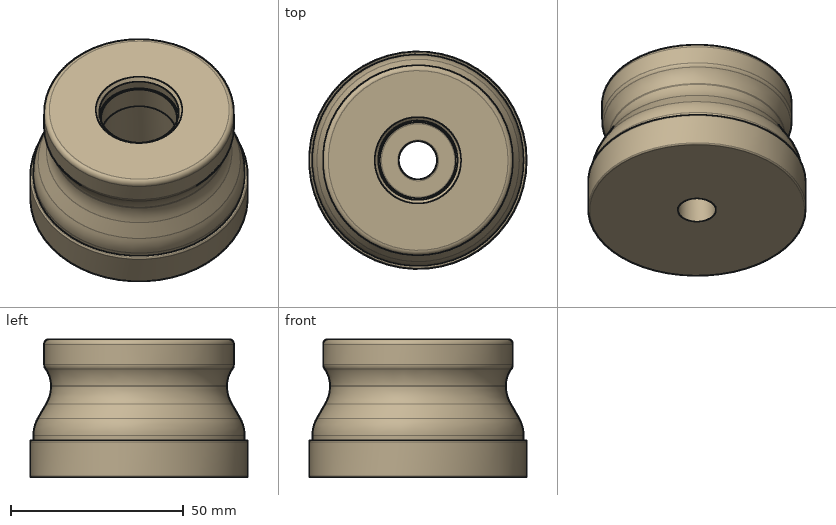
import cadquery as cq
import math

total_height = 40.0

flange_radius = 31.5
flange_height = 10.75
stem_radius = 15.0
stem_top_z = 28.5
stem_bore_radius = 11.0
stem_floor_z = flange_height
screw_hole_radius = 5.5
edge_round = 0.4

head_radius = 27.5
head_top_fillet = 1.5
head_bottom_fillet = 2.0
head_straight_bottom_z = 32.65
neck_radius = 25.5
neck_upper_arc = 8.0
skirt_radius = 30.6
skirt_straight_top_z = 12.15
skirt_arc = 10.0
skirt_slope = math.radians(30)

recess_radius = 11.5
recess_depth = 4.0
recess_chamfer = 1.0


def arc_point(center, radius, angle):
    """Point on a circle in the radius-height plane; the angle starts at the outward direction."""
    return (center[0] + radius * math.cos(angle), center[1] + radius * math.sin(angle))


def revolve_about_z(profile):
    return profile.close().revolve(360, (0, 0, 0), (0, 1, 0))


def make_base():
    low_edge_center = (flange_radius - edge_round, edge_round)
    high_edge_center = (flange_radius - edge_round, flange_height - edge_round)
    floor_center = (stem_bore_radius - edge_round, stem_floor_z + edge_round)
    hole_edge_center = (screw_hole_radius + edge_round, stem_floor_z - edge_round)

    profile = (
        cq.Workplane("XZ")
        .moveTo(screw_hole_radius, 0)
        .lineTo(flange_radius - edge_round, 0)
        .threePointArc(
            arc_point(low_edge_center, edge_round, -math.pi / 4),
            (flange_radius, edge_round),
        )
        .lineTo(flange_radius, flange_height - edge_round)
        .threePointArc(
            arc_point(high_edge_center, edge_round, math.pi / 4),
            (flange_radius - edge_round, flange_height),
        )
        .lineTo(stem_radius, flange_height)
        .lineTo(stem_radius, stem_top_z)
        .lineTo(stem_bore_radius, stem_top_z)
        .lineTo(stem_bore_radius, stem_floor_z + edge_round)
        .threePointArc(
            arc_point(floor_center, edge_round, -math.pi / 4),
            (stem_bore_radius - edge_round, stem_floor_z),
        )
        .lineTo(screw_hole_radius + edge_round, stem_floor_z)
        .threePointArc(
            arc_point(hole_edge_center, edge_round, 3 * math.pi / 4),
            (screw_hole_radius, stem_floor_z - edge_round),
        )
    )
    return revolve_about_z(profile)


def make_knob():
    neck_angle = math.acos(1 - (head_radius - neck_radius) / (head_bottom_fillet + neck_upper_arc))
    neck_top_z = head_straight_bottom_z - (head_bottom_fillet + neck_upper_arc) * math.sin(neck_angle)
    head_arc_center = (head_radius - head_bottom_fillet, head_straight_bottom_z)
    neck_arc_center = (neck_radius + neck_upper_arc, neck_top_z)

    arcs_width = 2 * skirt_arc * (1 - math.cos(skirt_slope))
    arcs_height = 2 * skirt_arc * math.sin(skirt_slope)
    flank_height = (skirt_radius - neck_radius - arcs_width) / math.tan(skirt_slope)
    neck_bottom_z = skirt_straight_top_z + arcs_height + flank_height
    skirt_arc_center = (skirt_radius - skirt_arc, skirt_straight_top_z)
    flare_arc_center = (neck_radius + skirt_arc, neck_bottom_z)

    top_fillet_center = (head_radius - head_top_fillet, total_height - head_top_fillet)
    recess_floor_z = total_height - recess_depth

    profile = (
        cq.Workplane("XZ")
        .moveTo(stem_radius, flange_height)
        .lineTo(skirt_radius, flange_height)
        .lineTo(skirt_radius, skirt_straight_top_z)
        .threePointArc(
            arc_point(skirt_arc_center, skirt_arc, skirt_slope / 2),
            arc_point(skirt_arc_center, skirt_arc, skirt_slope),
        )
        .lineTo(*arc_point(flare_arc_center, skirt_arc, math.pi + skirt_slope))
        .threePointArc(
            arc_point(flare_arc_center, skirt_arc, math.pi + skirt_slope / 2),
            (neck_radius, neck_bottom_z),
        )
        .lineTo(neck_radius, neck_top_z)
        .threePointArc(
            arc_point(neck_arc_center, neck_upper_arc, math.pi - neck_angle / 2),
            arc_point(neck_arc_center, neck_upper_arc, math.pi - neck_angle),
        )
        .threePointArc(
            arc_point(head_arc_center, head_bottom_fillet, -neck_angle / 2),
            (head_radius, head_straight_bottom_z),
        )
        .lineTo(head_radius, total_height - head_top_fillet)
        .threePointArc(
            arc_point(top_fillet_center, head_top_fillet, math.pi / 4),
            (head_radius - head_top_fillet, total_height),
        )
        .lineTo(recess_radius + recess_chamfer, total_height)
        .lineTo(recess_radius, total_height - recess_chamfer)
        .lineTo(recess_radius, recess_floor_z)
        .lineTo(stem_bore_radius, recess_floor_z)
        .lineTo(stem_bore_radius, stem_top_z)
        .lineTo(stem_radius, stem_top_z)
    )
    return revolve_about_z(profile)


base = make_base()
knob = make_knob()

result = cq.Compound.makeCompound([base.val(), knob.val()])